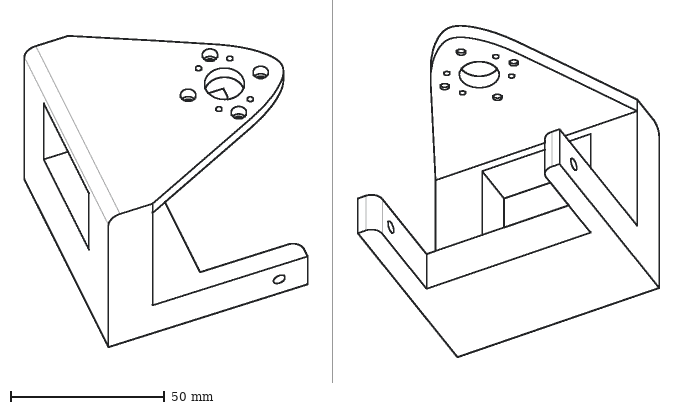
import cadquery as cq

width = 74.45
depth = 75.9
height = 69.5
wall_thickness = 15.5
plate_thickness = 5.0
edge_radius = 4.0

base_height = 15.0
arm_end = 70.0
arm_width = 7.0
slot_start = 35.0
arm_tip_radius = 4.0
pivot_diameter = 4.0
pivot_y = 60.0

window_width = 40.0
window_height = 30.05
window_top_margin = 8.0

shoulder_half_width = 8.0
shoulder_y = 71.2
waist_half_width = 17.6
waist_y = 56.1
flank_slope = 2.1

mount_y = 55.55
bore_diameter = 13.0
screw_circle_radius = 12.75
screw_diameter = 3
counterbore_diameter = 5.0
counterbore_depth = 4.0
pin_diameter = 2.0
pin_spacing_x = 18.05
pin_spacing_y = 11.0


def make_box(x_size, y_start, y_end, z_start, z_end):
    """Box centred on X = 0."""
    box = cq.Workplane("XY").box(x_size, y_end - y_start, z_end - z_start, centered=(True, False, False))
    return box.translate((0, y_start, z_start))


def make_base():
    """Base block with a slot that leaves two arms, each with a rounded tip and a pivot hole."""
    base = make_box(width, 0, arm_end, 0, base_height)
    base = base.cut(make_box(width - 2 * arm_width, slot_start, arm_end, 0, base_height))
    for side in (-1, 1):
        corner = (side * (width / 2 - arm_width), arm_end, base_height / 2)
        base = base.edges(cq.selectors.NearestToPointSelector(corner)).fillet(arm_tip_radius)
    pivot = (
        cq.Workplane("YZ")
        .center(pivot_y, base_height / 2)
        .circle(pivot_diameter / 2)
        .extrude(width / 2, both=True)
    )
    return base.cut(pivot)


def make_wall():
    """Upright wall with a rectangular window."""
    window_top = height - window_top_margin
    wall = make_box(width, 0, wall_thickness, 0, height)
    return wall.cut(make_box(window_width, 0, wall_thickness, window_top - window_height, window_top))


def make_plate():
    """Top plate that narrows from the wall to a rounded tip."""
    flank_points = [
        (waist_half_width, waist_y),
        (shoulder_half_width, shoulder_y),
        (0, depth),
        (-shoulder_half_width, shoulder_y),
        (-waist_half_width, waist_y),
        (-width / 2, wall_thickness),
    ]
    return (
        cq.Workplane("XY", origin=(0, 0, height - plate_thickness))
        .moveTo(-width / 2, 0)
        .lineTo(width / 2, 0)
        .lineTo(width / 2, wall_thickness)
        .spline(flank_points, tangents=[(-1, flank_slope), (-1, -flank_slope)], includeCurrent=True)
        .close()
        .extrude(plate_thickness)
    )


def cut_motor_mount(body):
    """Central bore, four counterbored screw holes and four pin holes."""
    mount = cq.Workplane("XY", origin=(0, mount_y, height))
    body = body.cut(mount.circle(bore_diameter / 2).extrude(-plate_thickness))
    screws = mount.polarArray(screw_circle_radius, 0, 360, 4)
    body = body.cut(screws.circle(screw_diameter / 2).extrude(-plate_thickness))
    body = body.cut(screws.circle(counterbore_diameter / 2).extrude(-counterbore_depth))
    pins = mount.rarray(pin_spacing_x, pin_spacing_y, 2, 2)
    return body.cut(pins.circle(pin_diameter / 2).extrude(-plate_thickness))


body = make_base().union(make_wall()).union(make_plate())
top_front_edge = cq.selectors.NearestToPointSelector((0, 0, height))
body = body.edges(top_front_edge).fillet(edge_radius)
result = cut_motor_mount(body)